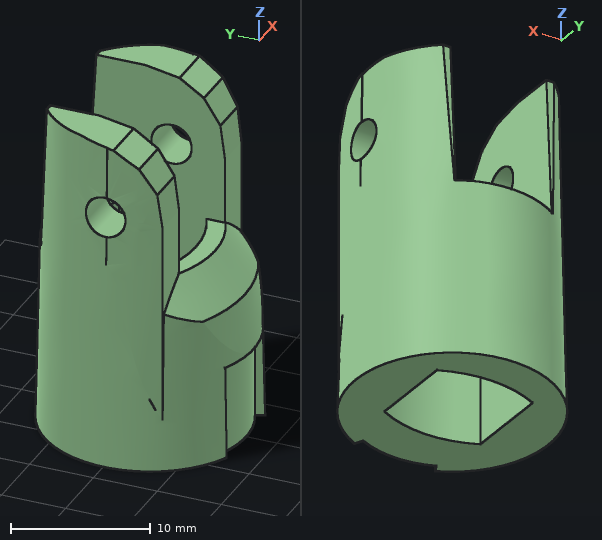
import cadquery as cq
import math

height = 26.2
base_radius = 8.25
top_radius = 7.67
shoulder_z = 14.67

slot_width = 8.22
lug_front_y = -4.05
flank_start_z = 4.2
flank_low_reach = 8.1
flank_high_reach = 7.73
pin_radius = 1.57
pin_y = 0.13
pin_z = 20.17
lug_back_y_low = 6.7
lug_back_y_high = 6.02

opening_corner_front_y = -2.6
opening_front_y = -3.6
opening_corner_back_y = 4.25
opening_back_y = 5.19

nose_axis_y = 3.93
nose_top_radius = 9.0
nose_edge_radius = 11.35
nose_edge_z = 11.6
nose_low_radius = 12.02

recess_height = 7.28
recess_half_width = 3.45
recess_floor_radius = 7.52

slot_half = slot_width / 2
margin = 2 * base_radius


def body_radius(z):
    """Outer radius of the tapered body at height z."""
    return base_radius + (top_radius - base_radius) * z / height


def tapered_body():
    profile = [(0, 0), (base_radius, 0), (top_radius, height), (0, height)]
    return cq.Workplane("XZ").polyline(profile).close().revolve(360, (0, 0), (0, 1))


def front_flanks():
    """Fill out both sides ahead of centre so the lug front edges stay vertical."""
    corner_x = math.sqrt(body_radius(flank_start_z) ** 2 - lug_front_y ** 2)

    def section(plane, reach):
        return (
            plane.moveTo(corner_x, lug_front_y)
            .threePointArc((reach, 0), (corner_x, -lug_front_y))
            .lineTo(slot_half, -lug_front_y)
            .lineTo(slot_half, lug_front_y)
            .close()
        )

    lower = section(cq.Workplane("XY").workplane(offset=flank_start_z), flank_low_reach)
    upper = section(lower.workplane(offset=height - flank_start_z), flank_high_reach)
    flank = upper.loft(ruled=True, combine=True)
    front_half = cq.Workplane("XY").box(margin, -lug_front_y, height, centered=(True, False, False))
    flank = flank.intersect(front_half.translate((0, lug_front_y, 0)))
    return flank.union(flank.mirror("YZ"))


def lug_envelope():
    """Side outline of the lugs, faceted at the front top and leaning at the back."""
    outline = [
        (lug_front_y, shoulder_z),
        (lug_front_y, 19.77),
        (-3.7, 22.52),
        (-2.4, 24.5),
        (-0.5, 25.72),
        (2.2, height),
        (lug_back_y_high, height),
        (lug_back_y_low, shoulder_z),
    ]
    lugs = cq.Workplane("YZ").polyline(outline).close().extrude(margin, both=True)
    slot = cq.Workplane("XY").box(slot_width, 2 * margin, 2 * height)
    return lugs.cut(slot)


def nose_cutter():
    """Everything outside the nose cones and ahead of the lugs."""
    profile = [
        (nose_low_radius, recess_height),
        (nose_edge_radius, nose_edge_z),
        (nose_top_radius, shoulder_z),
        (2 * margin, shoulder_z),
        (2 * margin, recess_height),
    ]
    ring = cq.Workplane("XZ").polyline(profile).close().revolve(360, (0, 0), (0, 1))
    ring = ring.translate((0, nose_axis_y, 0))
    ahead = cq.Workplane("XY").box(2 * margin, margin, height, centered=(True, False, False))
    return ring.intersect(ahead.translate((0, lug_front_y - margin, 0)))


def central_opening():
    return (
        cq.Workplane("XY")
        .moveTo(-slot_half, opening_corner_front_y)
        .threePointArc((0, opening_front_y), (slot_half, opening_corner_front_y))
        .lineTo(slot_half, opening_corner_back_y)
        .threePointArc((0, opening_back_y), (-slot_half, opening_corner_back_y))
        .close()
        .extrude(height)
    )


def bottom_recess():
    """Sector with radial side walls, outside the recess floor."""
    half_angle = math.asin(recess_half_width / base_radius)
    reach = margin * math.tan(half_angle)
    sector = (
        cq.Workplane("XY")
        .polyline([(0, 0), (-reach, -margin), (reach, -margin)])
        .close()
        .extrude(recess_height)
    )
    return sector.cut(cq.Workplane("XY").circle(recess_floor_radius).extrude(recess_height))


def pin_hole():
    return cq.Workplane("YZ").center(pin_y, pin_z).circle(pin_radius).extrude(margin, both=True)


shoulder_block = cq.Workplane("XY").box(2 * margin, 2 * margin, shoulder_z, centered=(True, True, False))

result = (
    tapered_body()
    .union(front_flanks())
    .intersect(shoulder_block.union(lug_envelope()))
    .cut(nose_cutter())
    .cut(central_opening())
    .cut(bottom_recess())
    .cut(pin_hole())
)